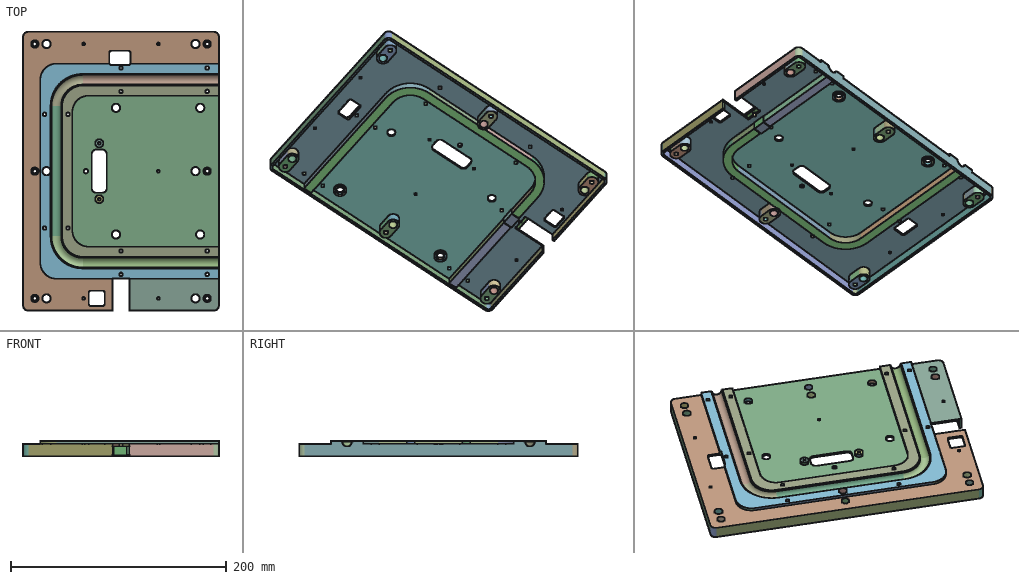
import cadquery as cq
length_x = 182.0
length_y = 259
tray_height = 11.7
plate_thickness = 2.0
skirt_thickness = 2.0
corner_radius = 5.0
plate_bottom = tray_height - plate_thickness
edge_x = length_x / 2
edge_y = length_y / 2

total_height = 14.5
track_width = 29.8
track_x = -60.0
track_y = 85.0
track_corner_radius = 15.0
groove_half_width = 4.5
groove_depth = 4.1
groove_chamfer = 1.0
groove_bend_radius = 24.5
rib_width = 8.3
rib_bottom = 1.8
rib_pad_left = -6.7
rib_pad_right = 5.5
rib_pad_width = 9.0
rib_pad_bottom = 1.0

mount_hole_diameter = 7.5
mount_hole_x = 69.2
mount_row_y = 118.0
counterbore_x = 80.0
counterbore_diameter = 7.0
counterbore_depth = 6.5
bolt_hole_diameter = 4.0
post_margin = 2.0

panel_hole_left_x = -4.7
panel_hole_right_x = 73.5
panel_hole_y = 58.8
panel_boss_diameter = 11.7
panel_boss_thickness = 4.1

track_hole_diameter = 3.0
track_hole_offset = 11.0
track_hole_y = 52.8

pin_hole_diameter = 2.3
pin_hole_x = 34.7
locating_hole_diameter = 4.0
locating_hole_x = -32.6

slot_x = -20.2
slot_width = 13.7
slot_length = 40.0
slot_corner_radius = 4.1
standoff_y = 26
standoff_diameter = 7.5
standoff_hole_diameter = 2.3

back_window_x = -1.0
back_window_y = 105.2
back_window_width = 19.5
back_window_depth = 13
front_window_x = -22.5
front_window_width = 14.5
front_window_depth = 14.0
window_corner_radius = 1.5

notch_width = 15.5
notch_end_y = -(track_y + track_hole_offset)


def box(x_min, x_max, y_min, y_max, z_min, z_max):
    return (
        cq.Workplane("XY", origin=(0, 0, z_min))
        .center((x_min + x_max) / 2, (y_min + y_max) / 2)
        .rect(x_max - x_min, y_max - y_min)
        .extrude(z_max - z_min)
    )


def cylinders(points, diameter, z_min, z_max):
    return (
        cq.Workplane("XY", origin=(0, 0, z_min))
        .pushPoints(points)
        .circle(diameter / 2)
        .extrude(z_max - z_min)
    )


def u_loop(offset, radius, z_min, z_max):
    """Block inside the U-shaped line lying `offset` outside the groove centre line."""
    block = box(track_x - offset, edge_x, -track_y - offset, track_y + offset, z_min, z_max)
    return block.edges("|Z and <X").fillet(radius)


def u_band(width, outer_radius, inner_radius, z_min, z_max):
    outer = u_loop(width / 2, outer_radius, z_min, z_max)
    return outer.cut(u_loop(-width / 2, inner_radius, z_min, z_max))


def make_tray():
    tray = box(-edge_x, edge_x, -edge_y, edge_y, 0, tray_height).edges("|Z").fillet(corner_radius)
    inner_x = edge_x - skirt_thickness
    inner_y = edge_y - skirt_thickness
    hollow = box(-inner_x, inner_x, -inner_y, inner_y, 0, plate_bottom)
    return tray.cut(hollow.edges("|Z").fillet(corner_radius - skirt_thickness))


def make_posts():
    """One full-height post under each pair of mount hole and counterbored hole."""
    post_width = mount_hole_diameter + 2 * post_margin
    post_length = counterbore_x - mount_hole_x + post_width
    post_x = (counterbore_x + mount_hole_x) / 2
    points = [(side * post_x, y) for side in (-1, 1) for y in mount_rows]
    return cq.Workplane("XY").pushPoints(points).slot2D(post_length, post_width).extrude(tray_height)


def make_groove():
    """Rounded channel with chamfered top edges, swept along the U-shaped centre line."""
    bend = groove_bend_radius
    path = (
        cq.Workplane("XY", origin=(0, 0, total_height))
        .moveTo(edge_x, track_y)
        .lineTo(track_x + bend, track_y)
        .radiusArc((track_x, track_y - bend), -bend)
        .lineTo(track_x, -track_y + bend)
        .radiusArc((track_x + bend, -track_y), -bend)
        .lineTo(edge_x, -track_y)
    )
    top_half_width = groove_half_width + groove_chamfer
    profile = (
        cq.Workplane("YZ", origin=(edge_x, track_y, total_height))
        .moveTo(-top_half_width, 0)
        .lineTo(-groove_half_width, -groove_chamfer)
        .threePointArc((0, -groove_chamfer - groove_depth), (groove_half_width, -groove_chamfer))
        .lineTo(top_half_width, 0)
        .close()
    )
    return profile.sweep(path)


def make_rib_pad():
    half = rib_pad_width / 2
    return box(rib_pad_left, rib_pad_right, -track_y - half, -track_y + half, rib_pad_bottom, plate_bottom)


def make_notch():
    half = notch_width / 2
    return box(-half, half, -edge_y, notch_end_y, 0, tray_height)


def make_rounded_opening(x, y, width, depth, radius):
    opening = box(x - width / 2, x + width / 2, y - depth / 2, y + depth / 2, 0, total_height)
    return opening.edges("|Z").fillet(radius)


mount_rows = (-mount_row_y, 0, mount_row_y)
mount_points = [(side * mount_hole_x, y) for side in (-1, 1) for y in mount_rows]
counterbore_points = [(side * counterbore_x, y) for side in (-1, 1) for y in mount_rows]
panel_right_points = [(panel_hole_right_x, side * panel_hole_y) for side in (-1, 1)]
panel_left_points = [(panel_hole_left_x, side * panel_hole_y) for side in (-1, 1)]
large_points = mount_points + panel_left_points + panel_right_points
standoff_points = [(slot_x, side * standoff_y) for side in (-1, 1)]
pin_points = [(side * pin_hole_x, y) for side in (-1, 1) for y in (-mount_row_y, mount_row_y)]
pin_points.append((pin_hole_x, 0))

track_points = []
for side in (-1, 1):
    for offset in (-track_hole_offset, track_hole_offset):
        track_points.append((0, side * (track_y + offset)))
        track_points.append((counterbore_x, side * (track_y + offset)))
        track_points.append((track_x + offset, side * track_hole_y))

rib_inner_radius = groove_bend_radius - rib_width / 2
rib_outer_radius = groove_bend_radius + rib_width / 2
panel_boss_bottom = tray_height - panel_boss_thickness

result = (
    make_tray()
    .union(u_band(track_width, track_corner_radius, track_corner_radius, tray_height, total_height))
    .union(u_band(rib_width, rib_outer_radius, rib_inner_radius, rib_bottom, plate_bottom))
    .union(make_rib_pad())
    .union(make_posts())
    .union(cylinders(panel_right_points, panel_boss_diameter, panel_boss_bottom, plate_bottom))
    .union(cylinders(standoff_points, standoff_diameter, tray_height, total_height))
)

front_window = make_rounded_opening(
    front_window_x, -mount_row_y, front_window_width, front_window_depth, window_corner_radius
)
back_window = make_rounded_opening(
    back_window_x, back_window_y, back_window_width, back_window_depth, window_corner_radius
)
result = (
    result.cut(make_groove())
    .cut(make_notch())
    .cut(back_window)
    .cut(front_window)
    .cut(make_rounded_opening(slot_x, 0, slot_width, slot_length, slot_corner_radius))
)

counterbore_floor = tray_height - counterbore_depth
result = (
    result.cut(cylinders(large_points, mount_hole_diameter, 0, total_height))
    .cut(cylinders(counterbore_points, bolt_hole_diameter, 0, total_height))
    .cut(cylinders(counterbore_points, counterbore_diameter, counterbore_floor, total_height))
    .cut(cylinders(track_points, track_hole_diameter, 0, total_height))
    .cut(cylinders(pin_points, pin_hole_diameter, 0, total_height))
    .cut(cylinders([(locating_hole_x, 0)], locating_hole_diameter, 0, total_height))
    .cut(cylinders(standoff_points, standoff_hole_diameter, 0, total_height))
)